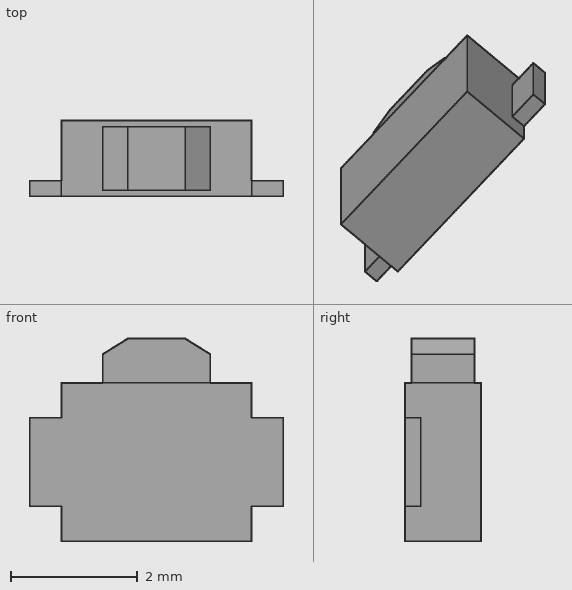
import cadquery as cq

body_width = 3.0
body_depth = 1.2
body_height = 2.5

overall_width = 4.0
tab_thickness = 0.25
tab_height = 1.4

overall_height = 3.2
button_width = 1.7
button_depth = 1.0
button_flat_width = 0.9
shoulder_drop = 0.25

button_height = overall_height - body_height


def make_body():
    return cq.Workplane("XY").box(body_width, body_depth, body_height, centered=(True, True, False))


def make_tabs():
    """One bar across the full width; its ends stick out of the body as tabs."""
    bar = cq.Workplane("XY").box(overall_width, tab_thickness, tab_height)
    return bar.translate((0, (tab_thickness - body_depth) / 2, body_height / 2))


def make_button():
    half_width = button_width / 2
    half_flat = button_flat_width / 2
    shoulder_z = overall_height - shoulder_drop
    outline = [
        (-half_width, body_height),
        (half_width, body_height),
        (half_width, shoulder_z),
        (half_flat, overall_height),
        (-half_flat, overall_height),
        (-half_width, shoulder_z),
    ]
    return cq.Workplane("XZ").polyline(outline).close().extrude(button_depth / 2, both=True)


def make_button_core():
    """Round core ending flush with the button top, leaving only its circular edge."""
    core = cq.Workplane("XY").workplane(offset=body_height)
    return core.circle(button_flat_width / 2).extrude(button_height)


housing = make_body().union(make_tabs()).union(make_button())
result = housing.union(make_button_core(), clean=False)